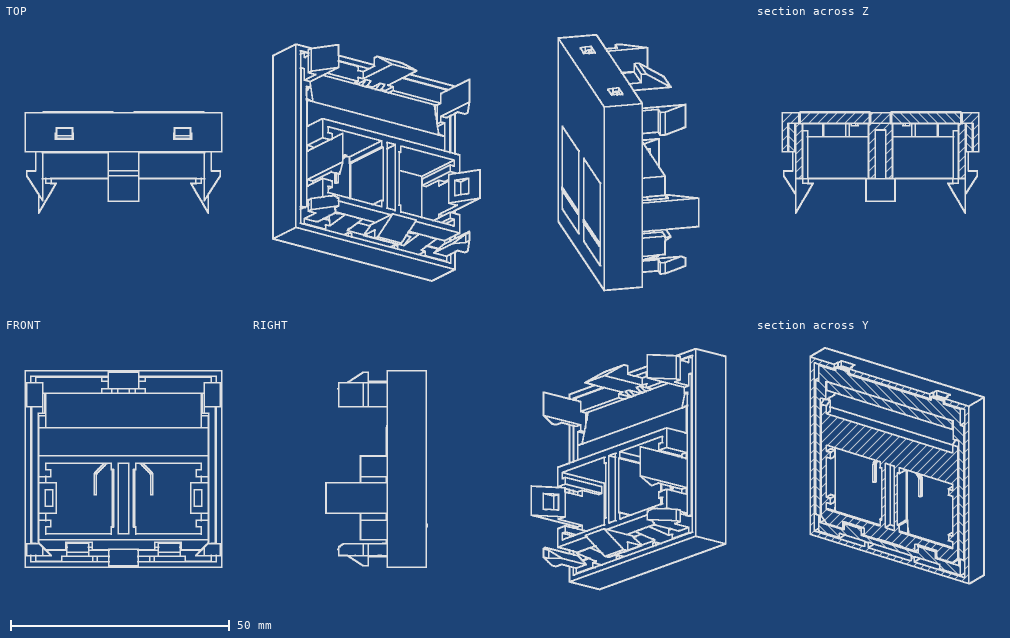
import math

import cadquery as cq

SIDES = (-1, 1)

FRAME_SIZE = 45.0
FRAME_DEPTH = 9.0
FRAME_WALL = 1.3
FACE_THICKNESS = 2.5
FRAME_BACK = -FRAME_DEPTH
FACE_INSIDE = -FACE_THICKNESS
CAVITY_HALF = FRAME_SIZE / 2 - FRAME_WALL
RIB_X = (6.0, 7.05)
RIB_BACK = -8.0

SLOT_CENTRE_X = 13.5
SLOT_WIDTH = 4.1
SLOT_FRONT_WIDTH = 3.7
SLOT_Y = (-6.05, -3.45)
SLOT_STEP_Y = -4.7
TOOTH_WIDTH = 3.5
TOOTH_Y = (-5.85, -3.6)
TOOTH_FLAT = 0.55
TOOTH_TOP = 21.8

RAIL_HALF = 21.0
CORNER_HALF = 20.1
CORNER_Z = 17.0
CARRIER_HALF_HEIGHT = 21.05
OPENING_HALF = 19.5
OPENING_TOP = 12.8
UPPER_OPENING_HALF = 18.5
UPPER_STEP_HALF = 18.0
UPPER_STEP_Y = -7.5
UPPER_OPENING_TOP = 17.4
OPENING_BOTTOM = -18.6
BOTTOM_NOTCH_HALF = 14.1
BOTTOM_BAR_Z = -19.95

CATCH_Y = -13.3
STEM_OUTER = 20.1
BARB_REACH = 22.15
BARB_FLAT = 1.15
CORNER_STEM_INNER = 18.5
CORNER_TIP_Y = -20.1
UPPER_LATCH_Z = (14.2, 19.8)
LOWER_LATCH_Z = (-19.8, -17.05)
WEB_TIP_Y = (-18.55, -16.2)
CENTRE_STEM_INNER = 18.35
CENTRE_TIP_Y = -20.3
TOP_LATCH_WIDTH = 7.0
BOTTOM_LATCH_WIDTH = 6.7
TOP_NOTCH_HALF = 4.95
TOP_NOTCH_DEPTH = 3.0
TOP_RIB_X = (1.3, 2.65)
TOP_RIB_RUN = 1.75

HOOK_X = (8.0, 12.95)
HOOK_TOP = -16.95
HOOK_SHOULDER_Y = -9.95
HOOK_TIP = (-15.0, -19.05)
LEDGE_REACH = 2.6

INSERT_HALF = 19.4
INSERT_TOP = 9.4
INSERT_BOTTOM = -18.5
PLATE_BACK = FRAME_BACK - 0.15
CORNER_CUT_TOP = -16.9
CORNER_CUT_DROP = CORNER_CUT_TOP - LOWER_LATCH_Z[0]
CORNER_CUT_INNER = INSERT_HALF - CORNER_CUT_DROP
EAR_TOP = 12.2
EAR_FRONT_Y = -4.5
HOOK_WINDOW_X = (7.2, 13.2)
HOOK_WINDOW_TOP = -16.7
BOX_BACK = -15.1
BOX_TOP = 3.0
BOX_BOTTOM = -16.2

CELL_X = (2.75, 17.8)
CELL_TOP = 1.35
CELL_BOTTOM = -14.8
CELL_FLOOR_FRONT = -5.5
CELL_GAP_BOTTOM = -17.9
GROOVE_X = 2.3
GROOVE_Z = (-13.2, -0.1)
GUIDE_X = 16.65
GUIDE_FRONT = -4.2
SIDE_SLOT_Z = (-11.7, -1.7)
MIDDLE_SLOT_HALF = 1.2
MIDDLE_SLOT_FRONT = -4.0

SIDE_LATCH_Z = (-10.1, -3.1)
SIDE_LATCH_CATCH_Y = -16.2
SIDE_LATCH_BARB = 15.4
SIDE_LATCH_TIP_Y = -23.0
EYE_X = (16.2, 17.95)
EYE_FLOOR_Y = -17.5
EYE_Z = (-8.5, -4.75)

SHUTTER_X = (2.5, 18.4)
SHUTTER_GAP = 0.2
SHUTTER_TOP = CELL_TOP + 1.0
SHUTTER_BACK = -2.45
SHUTTER_BEND_Z = -13.85
GRIP_HEIGHT = 0.15
GRIP_Z = (-13.2, -12.6)
SPRING_X = 6.5
SPRING_WIDTH = 0.45
SPRING_THICKNESS = 0.6
SPRING_BOTTOM = -5.9
SPRING_BEND_Z = -1.6
SPRING_BEND_RADIUS = 1.5
PANEL_HALF = 17.8
PANEL_THICKNESS = 2.0
TILT = math.tan(math.radians(12.7))


def block(xs, ys, zs):
    """Box between two limits along each axis."""
    size = [abs(b - a) for a, b in (xs, ys, zs)]
    middle = [(a + b) / 2 for a, b in (xs, ys, zs)]
    return cq.Workplane("XY").box(*size).translate(tuple(middle))


def mirrored(side, limits):
    """X limits given for the +X half, moved to the chosen side."""
    return tuple(side * x for x in limits)


def prism_z(points, zs):
    """Outline of (X, Y) points extruded between two heights."""
    return cq.Workplane("XY", origin=(0, 0, zs[0])).polyline(points).close().extrude(zs[1] - zs[0])


def prism_x(points, xs):
    """Outline of (Y, Z) points extruded between two X limits."""
    low, high = sorted(xs)
    return cq.Workplane("YZ", origin=(low, 0, 0)).polyline(points).close().extrude(high - low)


def make_frame():
    half = FRAME_SIZE / 2
    frame = block((-half, half), (FRAME_BACK, 0), (-half, half))
    cavity = (-CAVITY_HALF, CAVITY_HALF)
    frame = frame.cut(block(cavity, (FRAME_BACK, FACE_INSIDE), cavity))
    window_x = (SHUTTER_X[0] - SHUTTER_GAP, SHUTTER_X[1] + SHUTTER_GAP)
    for side in SIDES:
        frame = frame.cut(block(mirrored(side, window_x), (FACE_INSIDE, 0), (CELL_GAP_BOTTOM, SHUTTER_TOP)))
        frame = frame.cut(snap_slot(side * SLOT_CENTRE_X))
        rib_z = (-CAVITY_HALF, BOTTOM_BAR_Z)
        frame = frame.union(block(mirrored(side, RIB_X), (RIB_BACK, FACE_INSIDE), rib_z))
    return frame


def snap_slot(centre):
    wall = (CAVITY_HALF, FRAME_SIZE / 2)
    wide = (centre - SLOT_WIDTH / 2, centre + SLOT_WIDTH / 2)
    narrow = (centre - SLOT_FRONT_WIDTH / 2, centre + SLOT_FRONT_WIDTH / 2)
    slot = block(wide, (SLOT_Y[0], SLOT_STEP_Y), wall)
    return slot.union(block(narrow, SLOT_Y, wall))


def make_carrier():
    depth = (FRAME_BACK, FACE_INSIDE)
    carrier = block((-CORNER_HALF, CORNER_HALF), depth, (-CARRIER_HALF_HEIGHT, CARRIER_HALF_HEIGHT))
    carrier = carrier.union(block((-RAIL_HALF, RAIL_HALF), depth, (-CORNER_Z, CORNER_Z)))
    carrier = carrier.cut(block((-OPENING_HALF, OPENING_HALF), depth, (OPENING_BOTTOM, OPENING_TOP)))
    upper_z = (OPENING_TOP, UPPER_OPENING_TOP)
    carrier = carrier.cut(block((-UPPER_STEP_HALF, UPPER_STEP_HALF), depth, upper_z))
    upper_x = (-UPPER_OPENING_HALF, UPPER_OPENING_HALF)
    carrier = carrier.cut(block(upper_x, (FRAME_BACK, UPPER_STEP_Y), upper_z))
    notch_x = (-BOTTOM_NOTCH_HALF, BOTTOM_NOTCH_HALF)
    carrier = carrier.cut(block(notch_x, depth, (-CARRIER_HALF_HEIGHT, BOTTOM_BAR_Z)))
    carrier = carrier.cut(top_latch_notches())
    carrier = carrier.union(centre_latch(1, TOP_LATCH_WIDTH)).union(centre_latch(-1, BOTTOM_LATCH_WIDTH))
    carrier = carrier.union(bottom_ledge())
    for side in SIDES:
        carrier = carrier.union(corner_latch(side, UPPER_LATCH_Z))
        carrier = carrier.union(lower_corner_latch(side))
        carrier = carrier.union(insert_hook(side))
        carrier = carrier.union(snap_tooth(side * SLOT_CENTRE_X))
        carrier = carrier.union(top_latch_rib(side))
    return carrier


def barb_profile(inner, tip_y):
    """(distance from centre, Y) outline of a carrier latch."""
    return [
        (inner, FRAME_BACK),
        (STEM_OUTER, FRAME_BACK),
        (STEM_OUTER, CATCH_Y),
        (BARB_REACH, CATCH_Y),
        (BARB_REACH, CATCH_Y - BARB_FLAT),
        (inner, tip_y),
    ]


def corner_latch(side, zs):
    points = [(side * x, y) for x, y in barb_profile(CORNER_STEM_INNER, CORNER_TIP_Y)]
    return prism_z(points, zs)


def lower_corner_latch(side):
    """Corner latch with an inner web, its inner top edge cut off at 45 degrees."""
    web = [
        (CORNER_STEM_INNER, FRAME_BACK),
        (CORNER_STEM_INNER, WEB_TIP_Y[0]),
        (CORNER_CUT_INNER, WEB_TIP_Y[1]),
        (CORNER_CUT_INNER, FRAME_BACK),
    ]
    latch = corner_latch(side, LOWER_LATCH_Z)
    latch = latch.union(prism_z([(side * x, y) for x, y in web], LOWER_LATCH_Z))
    return latch.cut(corner_wedge(side, CORNER_TIP_Y, FRAME_BACK, above=True))


def corner_wedge(side, back, front, above):
    """Triangle on one side of the 45 degree line across a lower corner."""
    start = (side * INSERT_HALF, CORNER_CUT_TOP)
    end = (side * CORNER_CUT_INNER, LOWER_LATCH_Z[0])
    corner = (end[0], start[1]) if above else (start[0], end[1])
    wedge = cq.Workplane("XZ", origin=(0, front, 0)).polyline([start, end, corner]).close()
    return wedge.extrude(front - back)


def centre_latch(direction, width):
    """Latch at the middle of the top (+1) or bottom (-1) edge."""
    points = [(y, direction * z) for z, y in barb_profile(CENTRE_STEM_INNER, CENTRE_TIP_Y)]
    return prism_x(points, (-width / 2, width / 2))


def top_latch_notches():
    xs = (-TOP_NOTCH_HALF, TOP_NOTCH_HALF)
    ys = (FRAME_BACK, FRAME_BACK + TOP_NOTCH_DEPTH)
    above = block(xs, ys, (STEM_OUTER, CARRIER_HALF_HEIGHT))
    return above.union(block(xs, ys, (UPPER_OPENING_TOP, CENTRE_STEM_INNER)))


def top_latch_rib(side):
    """Tapered rib under the root of the top latch."""
    root = FRAME_BACK + TOP_NOTCH_DEPTH
    points = [
        (root, CENTRE_STEM_INNER),
        (FRAME_BACK, CENTRE_STEM_INNER),
        (FRAME_BACK + TOP_RIB_RUN, UPPER_OPENING_TOP),
        (root, UPPER_OPENING_TOP),
    ]
    return prism_x(points, mirrored(side, TOP_RIB_X))


def bottom_ledge():
    points = [
        (FRAME_BACK, OPENING_BOTTOM),
        (FRAME_BACK - LEDGE_REACH, OPENING_BOTTOM),
        (FRAME_BACK, BOTTOM_BAR_Z),
    ]
    return prism_x(points, (-HOOK_X[0], HOOK_X[0]))


def insert_hook(side):
    points = [
        (FACE_INSIDE, HOOK_TOP),
        (HOOK_SHOULDER_Y, HOOK_TOP),
        HOOK_TIP,
        (FRAME_BACK, BOTTOM_BAR_Z),
        (FACE_INSIDE, BOTTOM_BAR_Z),
    ]
    return prism_x(points, mirrored(side, HOOK_X))


def snap_tooth(centre):
    back, front = TOOTH_Y
    points = [
        (back, CARRIER_HALF_HEIGHT),
        (back, TOOTH_TOP),
        (back + TOOTH_FLAT, TOOTH_TOP),
        (front, CARRIER_HALF_HEIGHT),
    ]
    return prism_x(points, (centre - TOOTH_WIDTH / 2, centre + TOOTH_WIDTH / 2))


def make_insert():
    width = (-INSERT_HALF, INSERT_HALF)
    depth = (PLATE_BACK, FACE_INSIDE)
    insert = block(width, depth, (INSERT_BOTTOM, INSERT_TOP))
    insert = insert.union(block(width, (BOX_BACK, PLATE_BACK), (BOX_BOTTOM, BOX_TOP)))
    middle_slot_x = (-MIDDLE_SLOT_HALF, MIDDLE_SLOT_HALF)
    insert = insert.cut(block(middle_slot_x, (BOX_BACK, MIDDLE_SLOT_FRONT), (CELL_BOTTOM, CELL_TOP)))
    latch_relief_x = (-BOTTOM_LATCH_WIDTH / 2, BOTTOM_LATCH_WIDTH / 2)
    insert = insert.cut(block(latch_relief_x, depth, (INSERT_BOTTOM, -CENTRE_STEM_INNER)))
    for side in SIDES:
        insert = insert.cut(socket_cell(side))
        slot_x = mirrored(side, (CELL_X[1], INSERT_HALF))
        insert = insert.cut(block(slot_x, (BOX_BACK, PLATE_BACK), SIDE_SLOT_Z))
        insert = insert.union(guide_rails(side)).union(side_latch(side)).union(panel_ear(side))
        window_z = (INSERT_BOTTOM, HOOK_WINDOW_TOP)
        insert = insert.cut(block(mirrored(side, HOOK_WINDOW_X), depth, window_z))
        insert = insert.cut(corner_wedge(side, PLATE_BACK, FACE_INSIDE, above=False))
    return insert


def socket_cell(side):
    xs = mirrored(side, CELL_X)
    cell = block(xs, (BOX_BACK, FACE_INSIDE), (CELL_BOTTOM, CELL_TOP))
    cell = cell.union(block(mirrored(side, (GROOVE_X, CELL_X[1])), (BOX_BACK, FACE_INSIDE), GROOVE_Z))
    return cell.union(block(xs, (CELL_FLOOR_FRONT, FACE_INSIDE), (HOOK_WINDOW_TOP, CELL_BOTTOM)))


def guide_rails(side):
    """Rails above and below the side slot, reaching to the heights of the groove ends."""
    xs = mirrored(side, (GUIDE_X, CELL_X[1]))
    ys = (BOX_BACK, GUIDE_FRONT)
    lower = block(xs, ys, (GROOVE_Z[0], SIDE_SLOT_Z[0]))
    return lower.union(block(xs, ys, (SIDE_SLOT_Z[1], GROOVE_Z[1])))


def side_latch(side):
    stem_inner = CELL_X[1]
    points = [
        (INSERT_HALF, PLATE_BACK),
        (stem_inner, PLATE_BACK),
        (stem_inner, SIDE_LATCH_CATCH_Y),
        (SIDE_LATCH_BARB, SIDE_LATCH_CATCH_Y),
        (INSERT_HALF, SIDE_LATCH_TIP_Y),
    ]
    latch = prism_z([(side * x, y) for x, y in points], SIDE_LATCH_Z)
    return latch.cut(block(mirrored(side, EYE_X), (SIDE_LATCH_TIP_Y, EYE_FLOOR_Y), EYE_Z))


def panel_ear(side):
    points = [(PLATE_BACK, INSERT_TOP), (EAR_FRONT_Y, EAR_TOP), (EAR_FRONT_Y, INSERT_TOP)]
    return prism_x(points, mirrored(side, (PANEL_HALF, INSERT_HALF)))


def make_shutter(side):
    bevel_run = (SHUTTER_BEND_Z - CELL_GAP_BOTTOM) * TILT
    points = [
        (0, SHUTTER_TOP),
        (SHUTTER_BACK, SHUTTER_TOP),
        (SHUTTER_BACK, SHUTTER_BEND_Z),
        (SHUTTER_BACK + bevel_run, CELL_GAP_BOTTOM),
        (0, CELL_GAP_BOTTOM),
    ]
    xs = mirrored(side, SHUTTER_X)
    return prism_x(points, xs).union(block(xs, (0, GRIP_HEIGHT), GRIP_Z))


def make_spring(side):
    """Flat strip on the shutter: a straight leg, a 45 degree bend and a leaning leg."""
    outer = SPRING_X + SPRING_WIDTH / 2
    bend = math.radians(45)
    centre_x = outer - SPRING_BEND_RADIUS
    inner_radius = SPRING_BEND_RADIUS - SPRING_WIDTH

    def on_bend(radius, angle):
        return (side * (centre_x + radius * math.cos(angle)), SPRING_BEND_Z + radius * math.sin(angle))

    def at_top(radius):
        x, z = on_bend(radius, bend)
        return (x - side * (CELL_TOP - z), CELL_TOP)

    strip = (
        cq.Workplane("XZ", origin=(0, SHUTTER_BACK, 0))
        .moveTo(side * outer, SPRING_BOTTOM)
        .lineTo(*on_bend(SPRING_BEND_RADIUS, 0))
        .threePointArc(on_bend(SPRING_BEND_RADIUS, bend / 2), on_bend(SPRING_BEND_RADIUS, bend))
        .lineTo(*at_top(SPRING_BEND_RADIUS))
        .lineTo(*at_top(inner_radius))
        .lineTo(*on_bend(inner_radius, bend))
        .threePointArc(on_bend(inner_radius, bend / 2), on_bend(inner_radius, 0))
        .lineTo(side * (outer - SPRING_WIDTH), SPRING_BOTTOM)
        .close()
    )
    return strip.extrude(SPRING_THICKNESS)


def make_label_panel():
    """Leaning panel standing on the insert, under the top bar of the carrier."""
    lean = (UPPER_OPENING_TOP - INSERT_TOP) * TILT
    points = [
        (PLATE_BACK, INSERT_TOP),
        (PLATE_BACK + lean, UPPER_OPENING_TOP),
        (PLATE_BACK + lean + PANEL_THICKNESS, UPPER_OPENING_TOP),
        (PLATE_BACK + PANEL_THICKNESS, INSERT_TOP),
    ]
    return prism_x(points, (-PANEL_HALF, PANEL_HALF))


frame = make_frame()
carrier = make_carrier()
insert = make_insert()
label_panel = make_label_panel()
shutters = [make_shutter(side) for side in SIDES]
springs = [make_spring(side) for side in SIDES]

result = cq.Compound.makeCompound(
    [
        frame.val(),
        carrier.val(),
        insert.val(),
        label_panel.val(),
        *[shutter.val() for shutter in shutters],
        *[spring.val() for spring in springs],
    ]
)